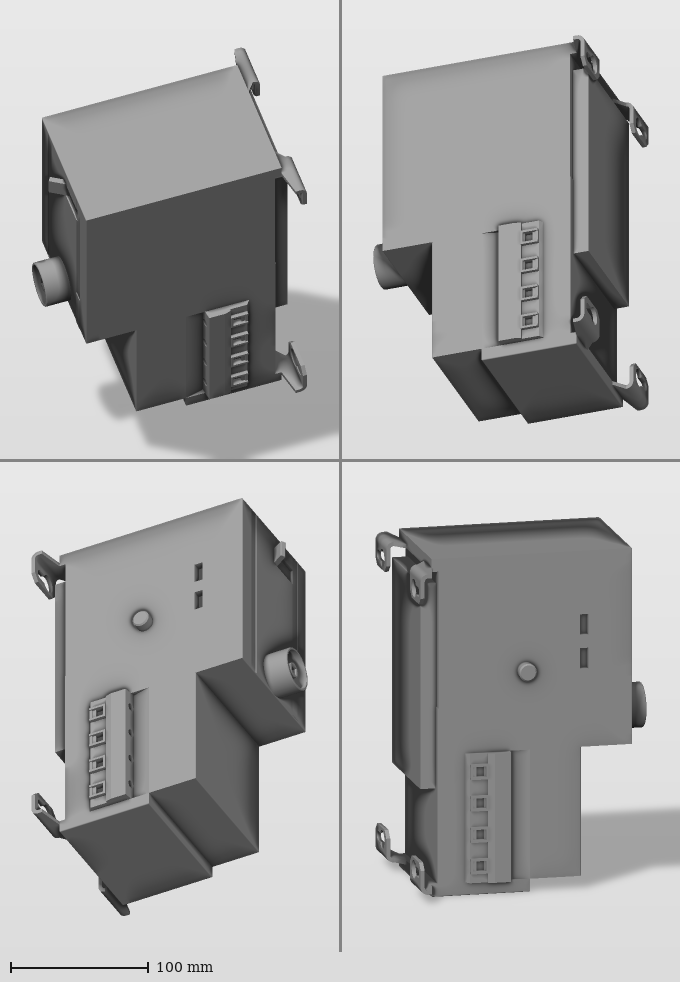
import cadquery as cq
import math


HEIGHT = 252.0
HALF_WIDTH = 50.0
FLANGE_DEPTH = 12.9
FLANGE_THICK = 9.5
UPPER_REAR_DEPTH = 18.0
LOWER_REAR_DEPTH = 17.5
REAR_STEP_Z = 140.5
FRONT_DEPTH = 162.8
STEP_Z = 105.9
LOWER_FRONT_DEPTH = 124.5
PLATE_FRONT_DEPTH = 86.2
EDGE_ROUND = 0.8

RAIL_DEPTH = 6.0
RAIL_HALF_WIDTH = 43.4
RAIL_BOTTOM_Z = 79.5
RAIL_TOP_Z = 232.5

BRACKET_OUTER_X = 69.0
BRACKET_INNER_X = 36.0
BRACKET_ROOT_X = 26.7
BRACKET_THICK = 3.0
BEND_RADIUS = 5.5
BRACKET_SHOULDER = 8.5
BRACKET_HEIGHT = 23.2
BRACKET_CHAMFER = 5.3
KEYHOLE_SLOT_X = 61.0
KEYHOLE_SLOT_RADIUS = 3.5
KEYHOLE_X = 48.5
KEYHOLE_RADIUS = 6.8
KEYHOLE_ABOVE_EDGE = 8.5

TERMINAL_REAR_DEPTH = 37.8
PANEL_REAR_DEPTH = 40.5
PANEL_FRONT_DEPTH = 53.7
RAMP_FRONT_DEPTH = 58.5
TERMINAL_FRONT_DEPTH = 72.0
TERMINAL_FRONT_LEAN = 1.5
TERMINAL_OUTER_X = 56.5
RAMP_START_X = 55.2
PANEL_X = 53.7
RECESS_X = 46.5
TERMINAL_COUNT = 4
TERMINAL_PITCH = 23.5
FIRST_TERMINAL_Z = 22.5
CLAMP_HEIGHT = 11.3
WINDOW_HEIGHT = 7.8
WINDOW_STEPS = [
    (PANEL_REAR_DEPTH, 52.2, 1.0),
    (42.3, 52.2, 2.0),
    (45.0, 51.2, 5.0),
]
SCREW_X = 50.0
SCREW_RADIUS = 3.0
SCREW_SUNK = 2.0
SCREW_SLOT_WIDTH = 1.5
SCREW_SLOT_DEPTH = 2.0

STRIP_INNER_X = 28.2
STRIP_OUTER_X = 36.0
LEFT_STRIP_SUNK = 0.8
RIGHT_STRIP_STEP = 0.38

LEVER_BOTTOM_Z = 226.0
LEVER_TOP_Z = 239.2
LEVER_SLOT_RIGHT_X = 29.5
LEVER_SLOT_SUNK = 2.3
LEVER_ROOT_X = 5.5
LEVER_REACH = 10.8
LEVER_THICK = 4.0
LEVER_CHAMFER = 0.5
LEVER_ANGLE = 32.0

KNOB_Z = 122.7
KNOB_FRONT_DEPTH = 181.7
KNOB_RADIUS = 16.6
KNOB_CHAMFER = 0.5
CUP_RADIUS = 14.9
CUP_DEPTH = 16.5
HUB_RADIUS = 5.8
HUB_SUNK = 2.5
HUB_SQUARE = 6.5
HUB_SQUARE_DEPTH = 5.0

BUTTON_DEPTH = 83.2
BUTTON_Z = 165.0
BUTTON_RADIUS = 6.5
BUTTON_OUTER_X = 58.0
BUTTON_CHAMFER = 1.0
SIDE_SLOT_REAR_DEPTH = 123.8
SIDE_SLOT_WIDTH = 6.3
SIDE_SLOT_HEIGHT = 15.6
SIDE_SLOT_SUNK = 6.3
SIDE_SLOT_BOTTOMS = [163.8, 189.0]

SELECT_MARGIN = 0.3


def block(x0, x1, depth0, depth1, z0, z1):
    """Box between two X values, two depths from the mounting plane and two heights."""
    box = cq.Workplane("XY").box(x1 - x0, depth1 - depth0, z1 - z0, centered=False)
    return box.translate((x0, -depth1, z0))


def front_cylinder(x, z, radius, depth0, depth1):
    """Cylinder along Y between two depths."""
    return cq.Workplane("XZ", origin=(x, -depth0, z)).circle(radius).extrude(depth1 - depth0)


def mirror_x(solid):
    return solid.mirror("YZ")


def make_housing():
    overhang_z = HEIGHT - FLANGE_THICK
    outline = [
        (FLANGE_DEPTH, 0),
        (PLATE_FRONT_DEPTH, 0),
        (PLATE_FRONT_DEPTH, FLANGE_THICK),
        (LOWER_FRONT_DEPTH, FLANGE_THICK),
        (LOWER_FRONT_DEPTH, STEP_Z),
        (FRONT_DEPTH, STEP_Z),
        (FRONT_DEPTH, HEIGHT),
        (FLANGE_DEPTH, HEIGHT),
        (FLANGE_DEPTH, overhang_z),
        (UPPER_REAR_DEPTH, overhang_z),
        (UPPER_REAR_DEPTH, REAR_STEP_Z),
        (LOWER_REAR_DEPTH, REAR_STEP_Z),
        (LOWER_REAR_DEPTH, FLANGE_THICK),
        (FLANGE_DEPTH, FLANGE_THICK),
    ]
    points = [(-depth, z) for depth, z in outline]
    housing = cq.Workplane("YZ").polyline(points).close().extrude(HALF_WIDTH, both=True)
    housing = housing.faces("<Y").edges().fillet(EDGE_ROUND)
    lower_front = cq.selectors.BoxSelector(
        (-HALF_WIDTH - SELECT_MARGIN, -LOWER_FRONT_DEPTH - SELECT_MARGIN, FLANGE_THICK - SELECT_MARGIN),
        (HALF_WIDTH + SELECT_MARGIN, -LOWER_FRONT_DEPTH + SELECT_MARGIN, STEP_Z - SELECT_MARGIN),
    )
    housing = housing.edges(lower_front).fillet(EDGE_ROUND)
    return housing.faces("<Z").edges().fillet(EDGE_ROUND)


def make_rail():
    return block(
        -RAIL_HALF_WIDTH, RAIL_HALF_WIDTH, RAIL_DEPTH, UPPER_REAR_DEPTH, RAIL_BOTTOM_Z, RAIL_TOP_Z
    )


def make_bracket():
    """Upper bracket on the +X side: an upright keyhole plate bent into a tapered flange."""
    flange_bottom = HEIGHT - FLANGE_THICK
    flange_top = flange_bottom + BRACKET_THICK
    plate_bottom = flange_top - BRACKET_HEIGHT
    inner_bend = BEND_RADIUS - BRACKET_THICK
    diagonal = math.sqrt(0.5)
    bend_z = flange_top - BEND_RADIUS
    profile = (
        cq.Workplane("YZ")
        .moveTo(0, plate_bottom)
        .lineTo(0, bend_z)
        .threePointArc(
            (-BEND_RADIUS * (1 - diagonal), bend_z + BEND_RADIUS * diagonal),
            (-BEND_RADIUS, flange_top),
        )
        .lineTo(-UPPER_REAR_DEPTH, flange_top)
        .lineTo(-UPPER_REAR_DEPTH, flange_bottom)
        .lineTo(-BEND_RADIUS, flange_bottom)
        .threePointArc(
            (-BEND_RADIUS + inner_bend * diagonal, bend_z + inner_bend * diagonal),
            (-BRACKET_THICK, bend_z),
        )
        .lineTo(-BRACKET_THICK, plate_bottom)
        .close()
        .extrude(BRACKET_OUTER_X)
    )
    plan = (
        cq.Workplane("XY", origin=(0, 0, plate_bottom))
        .polyline([
            (BRACKET_INNER_X, 0),
            (BRACKET_OUTER_X, 0),
            (BRACKET_OUTER_X, -BRACKET_SHOULDER),
            (HALF_WIDTH, -FLANGE_DEPTH),
            (HALF_WIDTH, -UPPER_REAR_DEPTH),
            (BRACKET_ROOT_X, -UPPER_REAR_DEPTH),
            (BRACKET_ROOT_X, -FLANGE_DEPTH),
            (BRACKET_INNER_X, -BEND_RADIUS),
        ])
        .close()
        .extrude(BRACKET_HEIGHT)
    )
    bracket = profile.intersect(plan)
    bracket = bracket.faces("<Z").edges("|Y").chamfer(BRACKET_CHAMFER)

    keyhole_z = plate_bottom + KEYHOLE_ABOVE_EDGE
    slot_end = front_cylinder(KEYHOLE_SLOT_X, keyhole_z, KEYHOLE_SLOT_RADIUS, 0, BRACKET_THICK)
    slot = block(
        KEYHOLE_X,
        KEYHOLE_SLOT_X,
        0,
        BRACKET_THICK,
        keyhole_z - KEYHOLE_SLOT_RADIUS,
        keyhole_z + KEYHOLE_SLOT_RADIUS,
    )
    hole = front_cylinder(KEYHOLE_X, keyhole_z, KEYHOLE_RADIUS, 0, BRACKET_THICK)
    return bracket.cut(slot_end).cut(slot).cut(hole)


def terminal_heights():
    return [FIRST_TERMINAL_Z + i * TERMINAL_PITCH for i in range(TERMINAL_COUNT)]


def make_finger_recess():
    """Wedge cut into the +X side in front of a terminal block, deepest at the screws."""
    lean_share = (HALF_WIDTH - RECESS_X) / (TERMINAL_OUTER_X - RECESS_X)
    rear_depth = TERMINAL_FRONT_DEPTH - TERMINAL_FRONT_LEAN * lean_share
    return (
        cq.Workplane("XY", origin=(0, 0, FLANGE_THICK))
        .polyline([
            (RECESS_X, -TERMINAL_FRONT_DEPTH),
            (HALF_WIDTH, -rear_depth),
            (HALF_WIDTH, -PLATE_FRONT_DEPTH),
        ])
        .close()
        .extrude(STEP_Z - FLANGE_THICK)
    )


def make_terminal_block():
    """Terminal block on the +X side with a raised, windowed clamp at each terminal."""
    terminal = (
        cq.Workplane("XY", origin=(0, 0, FLANGE_THICK))
        .polyline([
            (RECESS_X, -TERMINAL_REAR_DEPTH),
            (HALF_WIDTH, -TERMINAL_REAR_DEPTH),
            (PANEL_X, -PANEL_REAR_DEPTH),
            (PANEL_X, -PANEL_FRONT_DEPTH),
            (RAMP_START_X, -PANEL_FRONT_DEPTH),
            (TERMINAL_OUTER_X, -RAMP_FRONT_DEPTH),
            (TERMINAL_OUTER_X, -TERMINAL_FRONT_DEPTH + TERMINAL_FRONT_LEAN),
            (RECESS_X, -TERMINAL_FRONT_DEPTH),
        ])
        .close()
        .extrude(STEP_Z - FLANGE_THICK)
    )
    for z in terminal_heights():
        terminal = terminal.union(
            block(
                RECESS_X,
                TERMINAL_OUTER_X,
                PANEL_REAR_DEPTH,
                PANEL_FRONT_DEPTH,
                z - CLAMP_HEIGHT / 2,
                z + CLAMP_HEIGHT / 2,
            )
        )
    return terminal


def make_terminal_cuts():
    """Clamp windows and slotted screws of the +X terminal block."""
    sunk_depth = TERMINAL_FRONT_DEPTH - SCREW_SUNK
    cuts = cq.Workplane("XY")
    for z in terminal_heights():
        for rear, front, sunk in WINDOW_STEPS:
            cuts = cuts.add(
                block(
                    TERMINAL_OUTER_X - sunk,
                    TERMINAL_OUTER_X,
                    rear,
                    front,
                    z - WINDOW_HEIGHT / 2,
                    z + WINDOW_HEIGHT / 2,
                )
            )
        cuts = cuts.add(front_cylinder(SCREW_X, z, SCREW_RADIUS, sunk_depth, TERMINAL_FRONT_DEPTH))
        screw_slot = block(
            SCREW_X - SCREW_RADIUS,
            SCREW_X + SCREW_RADIUS,
            sunk_depth - SCREW_SLOT_DEPTH,
            sunk_depth,
            z - SCREW_SLOT_WIDTH / 2,
            z + SCREW_SLOT_WIDTH / 2,
        )
        slot_limit = front_cylinder(SCREW_X, z, SCREW_RADIUS, sunk_depth - SCREW_SLOT_DEPTH, sunk_depth)
        cuts = cuts.add(screw_slot.intersect(slot_limit))
    return cuts.combine()


def add_front_strips(body):
    """Two shallow vertical strips; the right one changes level at the rear step height."""
    bottom = STEP_Z + EDGE_ROUND
    top = HEIGHT - EDGE_ROUND
    left = block(
        -STRIP_OUTER_X, -STRIP_INNER_X, FRONT_DEPTH - LEFT_STRIP_SUNK, FRONT_DEPTH, bottom, top
    )
    right_upper = block(
        STRIP_INNER_X, STRIP_OUTER_X, FRONT_DEPTH - RIGHT_STRIP_STEP, FRONT_DEPTH, REAR_STEP_Z, top
    )
    right_lower = block(
        STRIP_INNER_X, STRIP_OUTER_X, FRONT_DEPTH, FRONT_DEPTH + RIGHT_STRIP_STEP, bottom, REAR_STEP_Z
    )
    return body.cut(left).cut(right_upper).union(right_lower)


def add_lever(body):
    """Flat lever leaning towards -X out of a shallow slot in the front panel."""
    lean = math.radians(LEVER_ANGLE)
    root_depth = FRONT_DEPTH - LEVER_SLOT_SUNK
    length = (LEVER_SLOT_SUNK + LEVER_REACH) / math.cos(lean)
    along = (-math.sin(lean) * length, -math.cos(lean) * length)
    width_at_root = LEVER_THICK / math.cos(lean)
    across = (-math.cos(lean) * LEVER_THICK, math.sin(lean) * LEVER_THICK)
    tip = (LEVER_ROOT_X + along[0], -root_depth + along[1])
    lever = (
        cq.Workplane("XY", origin=(0, 0, LEVER_BOTTOM_Z))
        .polyline([
            (LEVER_ROOT_X, -root_depth),
            tip,
            (tip[0] + across[0], tip[1] + across[1]),
            (LEVER_ROOT_X - width_at_root, -root_depth),
        ])
        .close()
        .extrude(LEVER_TOP_Z - LEVER_BOTTOM_Z)
    )
    lever_tip = cq.selectors.BoxSelector(
        (tip[0] + across[0] - SELECT_MARGIN, tip[1] - SELECT_MARGIN, LEVER_BOTTOM_Z),
        (tip[0] + SELECT_MARGIN, tip[1] + across[1] + SELECT_MARGIN, LEVER_TOP_Z),
    )
    lever = lever.edges("|Z").edges(lever_tip).chamfer(LEVER_CHAMFER)
    slot = block(
        LEVER_ROOT_X - width_at_root,
        LEVER_SLOT_RIGHT_X,
        root_depth,
        FRONT_DEPTH,
        LEVER_BOTTOM_Z,
        LEVER_TOP_Z,
    )
    return body.cut(slot).union(lever)


def make_knob():
    """Hollow knob with a sunken hub that carries a square socket."""
    hub_front = KNOB_FRONT_DEPTH - HUB_SUNK
    cup_floor = KNOB_FRONT_DEPTH - CUP_DEPTH
    knob = front_cylinder(0, KNOB_Z, KNOB_RADIUS, FRONT_DEPTH - EDGE_ROUND, KNOB_FRONT_DEPTH)
    knob = knob.faces("<Y").edges().chamfer(KNOB_CHAMFER)
    knob = knob.cut(front_cylinder(0, KNOB_Z, CUP_RADIUS, cup_floor, KNOB_FRONT_DEPTH))
    knob = knob.union(front_cylinder(0, KNOB_Z, HUB_RADIUS, cup_floor, hub_front))
    half = HUB_SQUARE / 2
    return knob.cut(
        block(-half, half, hub_front - HUB_SQUARE_DEPTH, hub_front, KNOB_Z - half, KNOB_Z + half)
    )


def make_button():
    button = (
        cq.Workplane("YZ", origin=(-BUTTON_OUTER_X, -BUTTON_DEPTH, BUTTON_Z))
        .circle(BUTTON_RADIUS)
        .extrude(BUTTON_OUTER_X - HALF_WIDTH)
    )
    return button.faces("<X").edges().chamfer(BUTTON_CHAMFER)


def cut_side_slots(body):
    for bottom in SIDE_SLOT_BOTTOMS:
        body = body.cut(
            block(
                -HALF_WIDTH,
                -HALF_WIDTH + SIDE_SLOT_SUNK,
                SIDE_SLOT_REAR_DEPTH,
                SIDE_SLOT_REAR_DEPTH + SIDE_SLOT_WIDTH,
                bottom,
                bottom + SIDE_SLOT_HEIGHT,
            )
        )
    return body


body = make_housing().union(make_rail())

upper_bracket = make_bracket()
lower_bracket = upper_bracket.mirror("XY", (0, 0, HEIGHT / 2))
for bracket in (upper_bracket, lower_bracket):
    body = body.union(bracket).union(mirror_x(bracket))

recess = make_finger_recess()
terminals = make_terminal_block()
terminal_cuts = make_terminal_cuts()
body = body.cut(recess).cut(mirror_x(recess))
body = body.union(terminals).union(mirror_x(terminals))
body = body.cut(terminal_cuts).cut(mirror_x(terminal_cuts))

body = add_front_strips(body)
body = add_lever(body)
body = body.union(make_knob()).union(make_button())
result = cut_side_slots(body)